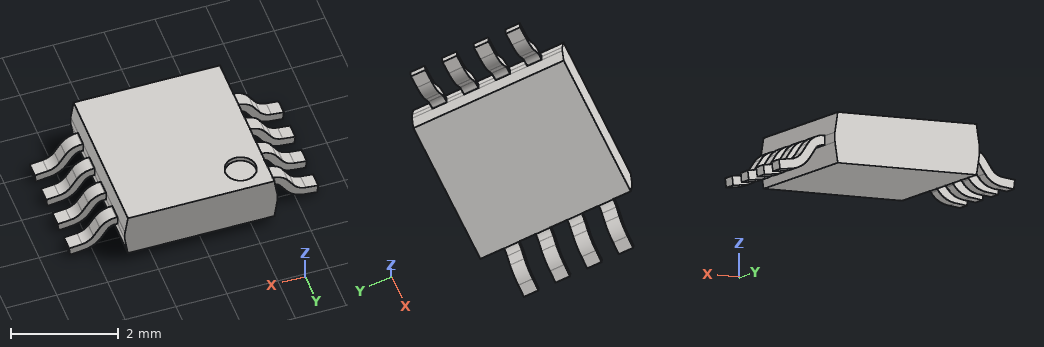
import cadquery as cq
import math


overall_length = 4.9
lead_thickness = 0.18
half_thickness = lead_thickness / 2

body_length = 3.0
body_width = 3.1
end_taper = 0.06
height_above_leads = 0.38
height_below_leads = 0.395
body_top = half_thickness + height_above_leads
body_bottom = -half_thickness - height_below_leads

mark_diameter = 0.6
mark_depth = 0.1
mark_x = -0.945
mark_y = 1.055

leads_per_side = 4
lead_pitch = 0.65
lead_width = 0.3
stub_length = 0.025
ramp_length = 0.22
ramp_angle = math.radians(56)
foot_angle = math.radians(7)
shoulder_outer_radius = 0.39
heel_inner_radius = 0.32
shoulder_radius = shoulder_outer_radius - half_thickness
heel_radius = heel_inner_radius + half_thickness


def make_body():
    """Block whose ends are upright over the lead band and taper above and below it."""
    wide = body_length / 2
    narrow = wide - end_taper
    outline = [
        (narrow, body_top),
        (wide, half_thickness),
        (wide, -half_thickness),
        (narrow, body_bottom),
        (-narrow, body_bottom),
        (-wide, -half_thickness),
        (-wide, half_thickness),
        (-narrow, body_top),
    ]
    block = cq.Workplane("XZ").polyline(outline).close().extrude(body_width / 2, both=True)
    mark = (
        cq.Workplane("XY", origin=(mark_x, mark_y, body_top))
        .circle(mark_diameter / 2)
        .extrude(-mark_depth)
    )
    return block.cut(mark)


def lead_surface(offset):
    """Points along a lead at a given height above its mid-thickness line, from body to tip.

    The slope is the downward angle of the lead.  Each bend gives its start, middle and end.
    """
    x = body_length / 2
    z = 0.0
    points = []

    def add_point(slope):
        points.append((x + offset * math.sin(slope), z + offset * math.cos(slope)))

    add_point(0)
    x += stub_length
    add_point(0)

    shoulder_x, shoulder_z = x, z - shoulder_radius
    for slope in (ramp_angle / 2, ramp_angle):
        x = shoulder_x + shoulder_radius * math.sin(slope)
        z = shoulder_z + shoulder_radius * math.cos(slope)
        add_point(slope)

    x += ramp_length * math.cos(ramp_angle)
    z -= ramp_length * math.sin(ramp_angle)
    add_point(ramp_angle)

    heel_x = x + heel_radius * math.sin(ramp_angle)
    heel_z = z + heel_radius * math.cos(ramp_angle)
    for slope in ((ramp_angle + foot_angle) / 2, foot_angle):
        x = heel_x - heel_radius * math.sin(slope)
        z = heel_z - heel_radius * math.cos(slope)
        add_point(slope)

    tip_x = overall_length / 2 - half_thickness * math.sin(foot_angle)
    z -= (tip_x - x) * math.tan(foot_angle)
    x = tip_x
    add_point(foot_angle)
    return points


def make_lead(side, y):
    """Gull-wing lead on the +X (side = 1) or -X (side = -1) end, centred on y."""
    upper = [(side * x, z) for x, z in lead_surface(half_thickness)]
    lower = [(side * x, z) for x, z in reversed(lead_surface(-half_thickness))]
    profile = (
        cq.Workplane("XZ", origin=(0, y, 0))
        .moveTo(*upper[0])
        .lineTo(*upper[1])
        .threePointArc(upper[2], upper[3])
        .lineTo(*upper[4])
        .threePointArc(upper[5], upper[6])
        .lineTo(*upper[7])
        .lineTo(*lower[0])
        .lineTo(*lower[1])
        .threePointArc(lower[2], lower[3])
        .lineTo(*lower[4])
        .threePointArc(lower[5], lower[6])
        .lineTo(*lower[7])
        .close()
    )
    return profile.extrude(lead_width / 2, both=True)


body = make_body()

leads = []
for side in (-1, 1):
    for index in range(leads_per_side):
        lead_y = (index - (leads_per_side - 1) / 2) * lead_pitch
        leads.append(make_lead(side, lead_y).val())

result = cq.Compound.makeCompound([body.val(), *leads])